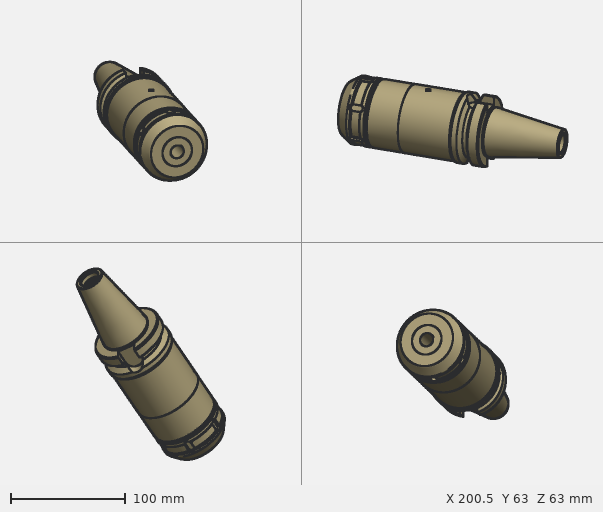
import cadquery as cq
LENGTH = 200.5

TAPER_TIP_DIA = 25.5
TAPER_RATIO = 7 / 24
TAPER_END_X = 65.3
TIP_CHAMFER = 0.6
NECK_DIA = 43.5

FLANGE_START_X = 67.0
FLANGE_DIA = 62.5
COLLAR_DIA = 63.0
FLANGE_CHAMFER = 1.2
FLANGE_FACE_CHAMFER = 0.8
V_ROOT_DIA = 51.1
V_START_X = 76.8
V_END_X = 87.0
V_WALL_RUN = 3.2
COLLAR_END_X = 92.4
COLLAR_CHAMFER_LENGTH = 1.8

BODY_DIA = 61.1
SLEEVE_START_X = 141.9
SLEEVE_DIA = 61.0
SLEEVE_END_X = 171.0
RELIEF_DIA = 58.0

NUT_START_X = 173.3
NUT_DIA = 61.0
NUT_CHAMFER = 0.6
BAND_START_X = 177.5
BAND_END_X = 187.2
BAND_NEAR_RAMP = 0.6
BAND_FAR_RAMP = 1.2
BAND_DIA = 60.0
NOSE_START_X = 190.5
NOSE_CHAMFER_LENGTH = 0.6
NOSE_CHAMFER_HEIGHT = 0.2
RIM_START_X = 198.5
RIM_START_DIA = 50.0
RIM_END_DIA = 47.7
LIP_DIA = 26.9
LIP_HEIGHT = 0.5

BORE_DIA = 12.0
COUNTERBORE_DIA = 17.0
COUNTERBORE_DEPTH = 6.2
MOUTH_DIA = 18.5
MOUTH_LENGTH = 1.2
SEAT_DIA = 16.0
STEP_DIA = 14.2
STEP_DEPTH = 8.0
THROAT_DEPTH = 8.6

KEYWAY_COUNT = 2
KEYWAY_WIDTH = 16.0
KEYWAY_FLOOR_RADIUS = 22.5
KEYWAY_END_X = 88.5

SLOT_COUNT = 6
SLOT_LENGTH = 12.2
SLOT_WIDTH = 5.8
SLOT_CENTER_X = 182.2
SLOT_FLOOR_RADIUS = 27.3

DIMPLE_X = 125.0
DIMPLE_DIA = 4.0
DIMPLE_DEPTH = 2.0


def revolve(points):
    """Turn an (x, radius) outline about the X axis."""
    return cq.Workplane("XY").polyline(points).close().revolve(360, (0, 0, 0), (1, 0, 0))


def make_body():
    tip_r = TAPER_TIP_DIA / 2
    taper_end_r = tip_r + TAPER_RATIO * (TAPER_END_X - TIP_CHAMFER) / 2
    flange_r = FLANGE_DIA / 2
    v_root_r = V_ROOT_DIA / 2
    collar_r = COLLAR_DIA / 2
    body_r = BODY_DIA / 2
    nut_r = NUT_DIA / 2
    band_r = BAND_DIA / 2
    face_x = LENGTH - LIP_HEIGHT
    return revolve([
        (0, 0),
        (0, tip_r - TIP_CHAMFER),
        (TIP_CHAMFER, tip_r),
        (TAPER_END_X, taper_end_r),
        (TAPER_END_X, NECK_DIA / 2),
        (FLANGE_START_X, NECK_DIA / 2),
        (FLANGE_START_X, flange_r - FLANGE_FACE_CHAMFER),
        (FLANGE_START_X + FLANGE_CHAMFER, flange_r),
        (V_START_X, flange_r),
        (V_START_X + V_WALL_RUN, v_root_r),
        (V_END_X - V_WALL_RUN, v_root_r),
        (V_END_X, collar_r),
        (COLLAR_END_X, collar_r),
        (COLLAR_END_X + COLLAR_CHAMFER_LENGTH, body_r),
        (SLEEVE_START_X, body_r),
        (SLEEVE_START_X, SLEEVE_DIA / 2),
        (SLEEVE_END_X, SLEEVE_DIA / 2),
        (SLEEVE_END_X, RELIEF_DIA / 2),
        (NUT_START_X, RELIEF_DIA / 2),
        (NUT_START_X, nut_r - NUT_CHAMFER),
        (NUT_START_X + NUT_CHAMFER, nut_r),
        (BAND_START_X, nut_r),
        (BAND_START_X + BAND_NEAR_RAMP, band_r),
        (BAND_END_X - BAND_FAR_RAMP, band_r),
        (BAND_END_X, nut_r),
        (NOSE_START_X - NOSE_CHAMFER_LENGTH, nut_r),
        (NOSE_START_X, nut_r - NOSE_CHAMFER_HEIGHT),
        (RIM_START_X, RIM_START_DIA / 2),
        (face_x, RIM_END_DIA / 2),
        (face_x, LIP_DIA / 2),
        (LENGTH, LIP_DIA / 2),
        (LENGTH, 0),
    ])


def make_bore():
    return revolve([
        (0, 0),
        (0, MOUTH_DIA / 2),
        (MOUTH_LENGTH, COUNTERBORE_DIA / 2),
        (COUNTERBORE_DEPTH, COUNTERBORE_DIA / 2),
        (COUNTERBORE_DEPTH, SEAT_DIA / 2),
        (STEP_DEPTH, STEP_DIA / 2),
        (THROAT_DEPTH, BORE_DIA / 2),
        (LENGTH, BORE_DIA / 2),
        (LENGTH, 0),
    ])


def make_keyway():
    """Flat-floored keyway on +Z, open toward the taper and round at its far end."""
    end_r = KEYWAY_WIDTH / 2
    arc_x = KEYWAY_END_X - end_r
    return (
        cq.Workplane("XY", origin=(0, 0, KEYWAY_FLOOR_RADIUS))
        .moveTo(TAPER_END_X, -end_r)
        .lineTo(arc_x, -end_r)
        .threePointArc((KEYWAY_END_X, 0), (arc_x, end_r))
        .lineTo(TAPER_END_X, end_r)
        .close()
        .extrude(FLANGE_DIA / 2)
    )


def make_wrench_slot():
    return (
        cq.Workplane("XY", origin=(SLOT_CENTER_X, 0, SLOT_FLOOR_RADIUS))
        .slot2D(SLOT_LENGTH, SLOT_WIDTH)
        .extrude(NUT_DIA / 2)
    )


def make_dimple():
    return (
        cq.Workplane("XY", origin=(DIMPLE_X, 0, BODY_DIA / 2 - DIMPLE_DEPTH))
        .circle(DIMPLE_DIA / 2)
        .extrude(2 * DIMPLE_DEPTH)
    )


def around_axis(shape, count):
    """Copies of a shape spaced evenly about the X axis."""
    return [shape.rotate((0, 0, 0), (1, 0, 0), i * 360 / count) for i in range(count)]


result = make_body().cut(make_bore())
for keyway in around_axis(make_keyway(), KEYWAY_COUNT):
    result = result.cut(keyway)
for slot in around_axis(make_wrench_slot(), SLOT_COUNT):
    result = result.cut(slot)
result = result.cut(make_dimple())